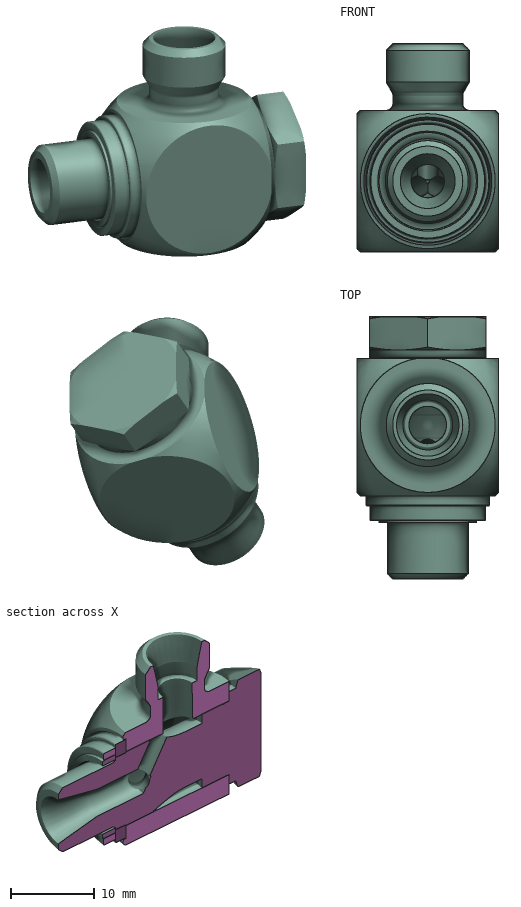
import cadquery as cq
import math


body_width = 17.0
body_back = 8.0
body_front = -8.5
body_sphere_radius = 11.75

spout_top = 25.0 - body_width / 2
spout_diameter = 10.0
spout_neck_diameter = 8.4
spout_chamfer = 0.8
spout_thread_bottom = 11.9
spout_taper_angle = 30.0
spout_fillet = 0.8
spout_mouth_diameter = 7.5
spout_seat_diameter = 6.0
spout_socket_depth = 5.5
spout_hole_diameter = 4.5
cone_half_angle = 12.0

hex_across_flats = 14.02
hex_height = 4.0
hex_chamfer_angle = 18.0
hex_back_face_diameter = 14.62
collar_height = 1.0
collar_edge_break = 0.1
shank_diameter = 11.0
thread_diameter = 9.73
thread_chamfer = 0.65
bolt_tip = -18.5
bolt_bore_diameter = 4.0
bolt_mouth_diameter = 6.58
drill_half_angle = 59.0
bore_tip = -4.15

neck_diameter = 8.4
neck_back = 3.78
neck_arc_back = 1.2
neck_arc_radius = 8.0
neck_flank_angle = 20.0

cross_hole_count = 3
cross_hole_diameter = 2.5
cross_hole_angle = 60.0
cross_hole_axis_offset = -5.85

recess_depth = 0.5
recess_chamfer = 0.25
support_diameter = 14.87
support_front = -9.7
seal_diameter = 13.85
seal_front = -11.5
ring_edge_break = 0.1
lip_outer_diameter = 11.7
lip_inner_diameter = 10.2
lip_front = -11.7
seal_bore_chamfer = 0.15

recess_floor = body_front + recess_depth
collar_back = body_back + collar_height
hex_back = collar_back + hex_height


def tan_degrees(angle):
    return math.tan(math.radians(angle))


def cylinder_along_y(diameter, start, end):
    return cq.Workplane("XZ", origin=(0, start, 0)).circle(diameter / 2).extrude(start - end)


def turned_about_y(points):
    """Revolve a closed (radius, y) outline about the Y axis."""
    return cq.Workplane("XY").polyline(points).close().revolve(360, (0, 0), (0, 1))


def turned_ring(outer_diameter, inner_diameter, back, front, edge_break):
    """Flat ring about Y whose outer front edge is broken."""
    outer = outer_diameter / 2
    inner = inner_diameter / 2
    return turned_about_y(
        [
            (inner, back),
            (outer, back),
            (outer, front + edge_break),
            (outer - edge_break, front),
            (inner, front),
        ]
    )


def make_spout():
    """Threaded spout with a tapered undercut and a fillet at its foot."""
    foot = body_width / 2
    outer = spout_diameter / 2
    neck = spout_neck_diameter / 2
    angle = math.radians(spout_taper_angle)
    arc_drop = spout_fillet * math.sin(angle)
    arc_rise = spout_fillet * (1 - math.cos(angle))
    arc_top = spout_thread_bottom - (outer - neck - arc_rise) / math.tan(angle)
    arc_middle = (
        neck + spout_fillet * (1 - math.cos(angle / 2)),
        arc_top - arc_drop + spout_fillet * math.sin(angle / 2),
    )
    fillet_middle = (
        neck + spout_fillet * (1 - math.cos(math.pi / 4)),
        foot + spout_fillet * (1 - math.sin(math.pi / 4)),
    )
    return (
        cq.Workplane("XZ")
        .moveTo(0, 0)
        .lineTo(0, spout_top)
        .lineTo(outer - spout_chamfer, spout_top)
        .lineTo(outer, spout_top - spout_chamfer)
        .lineTo(outer, spout_thread_bottom)
        .lineTo(neck + arc_rise, arc_top)
        .threePointArc(arc_middle, (neck, arc_top - arc_drop))
        .lineTo(neck, foot + spout_fillet)
        .threePointArc(fillet_middle, (neck + spout_fillet, foot))
        .lineTo(neck + spout_fillet, 0)
        .close()
        .revolve(360, (0, 0), (0, 1))
    )


def make_spout_passage():
    """Tapered pipe socket and the hole below it, down to the bolt bore."""
    mouth = spout_mouth_diameter / 2
    seat = spout_seat_diameter / 2
    hole = spout_hole_diameter / 2
    cone_bottom = spout_top - (mouth - seat) / tan_degrees(cone_half_angle)
    socket_floor = spout_top - spout_socket_depth
    return (
        cq.Workplane("XZ")
        .polyline(
            [
                (0, 0),
                (0, spout_top),
                (mouth, spout_top),
                (seat, cone_bottom),
                (seat, socket_floor),
                (hole, socket_floor),
                (hole, 0),
            ]
        )
        .close()
        .revolve(360, (0, 0), (0, 1))
    )


def make_housing():
    depth = body_back - body_front
    block = cq.Workplane("XY").box(body_width, depth, body_width)
    block = block.translate((0, (body_back + body_front) / 2, 0))
    body = block.intersect(cq.Workplane("XY").sphere(body_sphere_radius))
    recess_radius = support_diameter / 2
    recess = turned_about_y(
        [
            (0, recess_floor),
            (recess_radius, recess_floor),
            (recess_radius, body_front + recess_chamfer),
            (recess_radius + recess_chamfer, body_front),
            (0, body_front),
        ]
    )
    bolt_hole = cylinder_along_y(shank_diameter, body_back, body_front)
    return body.union(make_spout()).cut(make_spout_passage()).cut(bolt_hole).cut(recess)


def make_hex_head():
    """Hexagon with corners on Z and both ends chamfered."""
    half_corner_angle = 30.0
    corner_radius = hex_across_flats / 2 / math.cos(math.radians(half_corner_angle))
    back_radius = hex_back_face_diameter / 2
    front_radius = hex_across_flats / 2
    slope = tan_degrees(hex_chamfer_angle)
    hexagon = (
        cq.Workplane("XZ", origin=(0, collar_back, 0))
        .polygon(6, 2 * corner_radius)
        .extrude(-hex_height)
        .rotate((0, 0, 0), (0, 1, 0), half_corner_angle)
    )
    envelope = turned_about_y(
        [
            (0, collar_back),
            (front_radius, collar_back),
            (corner_radius, collar_back + (corner_radius - front_radius) * slope),
            (corner_radius, hex_back - (corner_radius - back_radius) * slope),
            (back_radius, hex_back),
            (0, hex_back),
        ]
    )
    return hexagon.intersect(envelope)


def make_neck():
    """Groove around the shank: flat floor that curves into a straight front flank."""
    angle = math.radians(neck_flank_angle)
    rim = shank_diameter / 2
    floor = neck_diameter / 2
    arc_rise = neck_arc_radius * (1 - math.cos(angle))
    arc_front = neck_arc_back - neck_arc_radius * math.sin(angle)
    arc_middle = (
        floor + neck_arc_radius * (1 - math.cos(angle / 2)),
        neck_arc_back - neck_arc_radius * math.sin(angle / 2),
    )
    flank_front = arc_front - (rim - floor - arc_rise) / math.tan(angle)
    return (
        cq.Workplane("XY")
        .moveTo(rim, neck_back)
        .lineTo(floor, neck_back)
        .lineTo(floor, neck_arc_back)
        .threePointArc(arc_middle, (floor + arc_rise, arc_front))
        .lineTo(rim, flank_front)
        .close()
        .revolve(360, (0, 0), (0, 1))
    )


def make_bolt_bore():
    mouth = bolt_mouth_diameter / 2
    bore = bolt_bore_diameter / 2
    return turned_about_y(
        [
            (0, bolt_tip),
            (mouth, bolt_tip),
            (bore, bolt_tip + (mouth - bore) / tan_degrees(cone_half_angle)),
            (bore, bore_tip - bore / tan_degrees(drill_half_angle)),
            (0, bore_tip),
        ]
    )


def make_cross_hole():
    """Hole that starts on the bolt axis and leans back toward the neck."""
    angle = math.radians(cross_hole_angle)
    start = cq.Vector(0, cross_hole_axis_offset, 0)
    direction = cq.Vector(0, math.cos(angle), math.sin(angle))
    hole = cq.Solid.makeCylinder(cross_hole_diameter / 2, shank_diameter, start, direction)
    return cq.Workplane("XY").newObject([hole])


def make_thread_runout():
    """45 degree cone that fills the foot of the thread inside the seal lip."""
    root = thread_diameter / 2
    foot = lip_inner_diameter / 2
    return turned_about_y(
        [
            (0, support_front),
            (foot, support_front),
            (root, support_front - (foot - root)),
            (0, support_front - (foot - root)),
        ]
    )


def make_bolt():
    collar = turned_ring(hex_across_flats, thread_diameter, collar_back, body_back, collar_edge_break)
    shank = cylinder_along_y(shank_diameter, collar_back, support_front)
    thread_runout = make_thread_runout()
    thread = cylinder_along_y(thread_diameter, collar_back, bolt_tip)
    thread = thread.faces("<Y").chamfer(thread_chamfer)
    bolt = thread.union(thread_runout).union(shank).union(collar).union(make_hex_head())
    bolt = bolt.cut(make_neck()).cut(make_bolt_bore())
    for index in range(cross_hole_count):
        turn = index * 360 / cross_hole_count
        bolt = bolt.cut(make_cross_hole().rotate((0, 0, 0), (0, 1, 0), turn))
    return bolt


def make_support_ring():
    return turned_ring(support_diameter, shank_diameter, recess_floor, support_front, ring_edge_break)


def make_seal_ring():
    ring = turned_ring(seal_diameter, lip_outer_diameter, support_front, seal_front, ring_edge_break)
    bore = lip_outer_diameter / 2
    bore_chamfer = turned_about_y(
        [
            (bore, seal_front),
            (bore + seal_bore_chamfer, seal_front),
            (bore, seal_front + seal_bore_chamfer),
        ]
    )
    return ring.cut(bore_chamfer)


def make_seal_lip():
    blank = cylinder_along_y(lip_outer_diameter, support_front, lip_front)
    return blank.cut(cylinder_along_y(lip_inner_diameter, support_front, lip_front))


housing = make_housing()
bolt = make_bolt()
support_ring = make_support_ring()
seal_ring = make_seal_ring()
seal_lip = make_seal_lip()

result = cq.Compound.makeCompound(
    [housing.val(), bolt.val(), support_ring.val(), seal_ring.val(), seal_lip.val()]
)